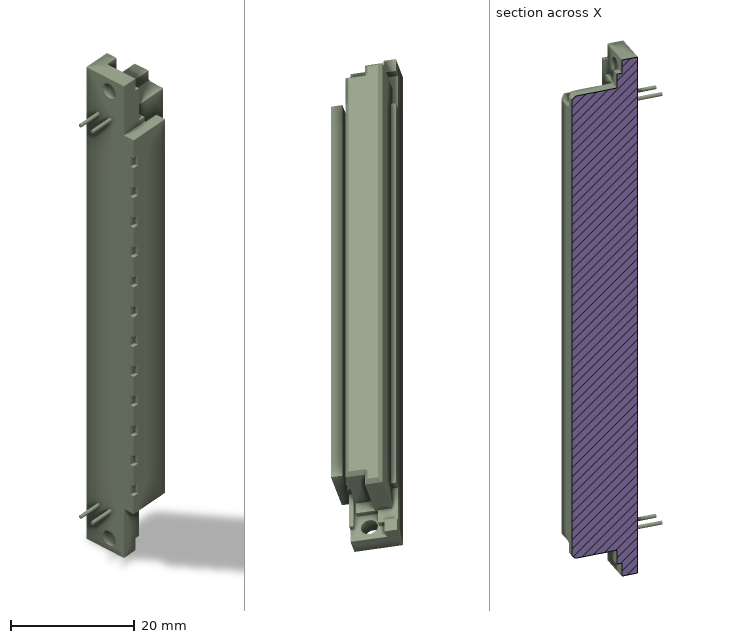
import cadquery as cq
import math


LENGTH = 94.9
BASE_WIDTH = 8.1
HALF_LENGTH = LENGTH / 2
FLOOR_Y = 2.8
RAIL_Y = 3.7
LIP_Y = 5.1
LOWER_LIP_Y = 4.3
LIP_WIDTH = 2.05
LIP_LENGTH = 2.4
LEFT_RAIL_WIDTH = 3.3
RIGHT_RAIL_WIDTH = 0.7
MIDDLE_LENGTH = 77.0

HOLE_SPACING = 90.0
HOLE_DIAMETER = 2.8
HOLE_X = 4.95

HOUSING_LENGTH = 85.0
HOUSING_LEFT = 0.85
HOUSING_STEP_X = 3.8
HOUSING_RIGHT = 7.0
HOUSING_TOP_Y = 11.6
HOUSING_END_STEP = 2.0
BEVEL_DEPTH = 0.65
BEVEL_INSET = 0.6

FLANGE_LENGTH = 75.2
FLANGE_RIGHT = 10.2
FLANGE_TOP_Y = 7.75
FLANGE_WALL_X = 8.3
NOTCH_COUNT = 12
NOTCH_PITCH = 6.0
NOTCH_HEIGHT = 2.0
NOTCH_WIDTH = 0.7
NOTCH_DEPTH = 1.0

PIN_PITCH = 2.54
PIN_ROW_SPACING = 31 * PIN_PITCH
PIN_DIAMETER = 0.64
PIN_LENGTH = 4.5
PIN_EMBED = 1.0
FIRST_PIN_X = 2.63


def block(x_min, x_max, y_min, y_max, z_min, z_max):
    """Box given by its limits along each axis."""
    size = (x_max - x_min, y_max - y_min, z_max - z_min)
    return cq.Workplane("XY").box(*size, centered=False).translate((x_min, y_min, z_min))


def long_block(x_min, x_max, y_min, y_max, length):
    """Box centred on Z = 0."""
    return block(x_min, x_max, y_min, y_max, -length / 2, length / 2)


def y_cylinder(x, z, diameter, y_start, y_end):
    """Cylinder along Y."""
    start = cq.Vector(x, y_start, z)
    return cq.Workplane(cq.Solid.makeCylinder(diameter / 2, y_end - y_start, start, cq.Vector(0, 1, 0)))


def make_base():
    rail_length = LENGTH - 2 * LIP_LENGTH
    lip_inner_z = HALF_LENGTH - LIP_LENGTH
    base = long_block(0, BASE_WIDTH, 0, FLOOR_Y, LENGTH)
    base = base.union(long_block(0, LEFT_RAIL_WIDTH, 0, RAIL_Y, rail_length))
    base = base.union(long_block(BASE_WIDTH - RIGHT_RAIL_WIDTH, BASE_WIDTH, 0, RAIL_Y, rail_length))
    base = base.union(long_block(0, HOUSING_RIGHT, 0, RAIL_Y, HOUSING_LENGTH))
    base = base.union(long_block(0, BASE_WIDTH, 0, LIP_Y, MIDDLE_LENGTH))
    base = base.union(block(0, LIP_WIDTH, 0, LIP_Y, lip_inner_z, HALF_LENGTH))
    return base.union(block(0, LIP_WIDTH, 0, LOWER_LIP_Y, -HALF_LENGTH, -lip_inner_z))


def make_housing():
    long_z = HOUSING_LENGTH / 2
    short_z = long_z - HOUSING_END_STEP
    bevel_angle = math.degrees(math.atan(BEVEL_INSET / BEVEL_DEPTH))
    bevel_y = HOUSING_TOP_Y - BEVEL_DEPTH
    outline = [
        (HOUSING_LEFT, -long_z),
        (HOUSING_STEP_X, -long_z),
        (HOUSING_STEP_X, -short_z),
        (HOUSING_RIGHT, -short_z),
        (HOUSING_RIGHT, short_z),
        (HOUSING_STEP_X, short_z),
        (HOUSING_STEP_X, long_z),
        (HOUSING_LEFT, long_z),
    ]

    def sketch(y):
        plane = cq.Plane(origin=(0, y, 0), xDir=(1, 0, 0), normal=(0, 1, 0))
        return cq.Workplane(plane).polyline(outline).close()

    straight = sketch(FLOOR_Y).extrude(bevel_y - FLOOR_Y)
    bevel = sketch(bevel_y).extrude(BEVEL_DEPTH, taper=bevel_angle)
    return straight.union(bevel)


def make_flange():
    flange = long_block(BASE_WIDTH, FLANGE_RIGHT, 0, LIP_Y, FLANGE_LENGTH)
    flange = flange.union(long_block(FLANGE_WALL_X, FLANGE_RIGHT, 0, FLANGE_TOP_Y, FLANGE_LENGTH))
    notch = long_block(FLANGE_RIGHT - NOTCH_WIDTH, FLANGE_RIGHT, 0, NOTCH_DEPTH, NOTCH_HEIGHT)
    for index in range(NOTCH_COUNT):
        notch_z = (index - (NOTCH_COUNT - 1) / 2) * NOTCH_PITCH
        flange = flange.cut(notch.translate((0, 0, notch_z)))
    return flange


result = make_base().union(make_housing()).union(make_flange())
for end in (-1, 1):
    hole_z = end * HOLE_SPACING / 2
    result = result.cut(y_cylinder(HOLE_X, hole_z, HOLE_DIAMETER, 0, LIP_Y))
    for column in range(2):
        pin_x = FIRST_PIN_X + column * PIN_PITCH
        pin_z = end * PIN_ROW_SPACING / 2
        result = result.union(y_cylinder(pin_x, pin_z, PIN_DIAMETER, -PIN_LENGTH, PIN_EMBED))